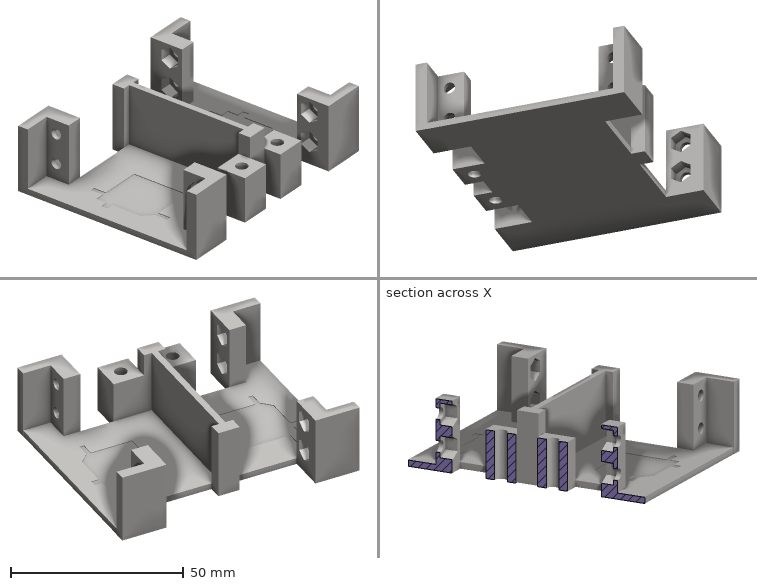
import cadquery as cq

length = 78.0
width = 65.0
height = 22.0

floor_thickness = 2.0
floor_width = 41.8
floor_setback = 0.1

wall_thickness = 2.0
bar_thickness = 7.0
bar_span = 50.2

boss_size = 10.0
boss_height = 15.0
boss_hole_diameter = 4.0

bracket_length = 14.5
side_thickness = 3.5
flange_thickness = 5.45
bracket_width = (width - floor_width) / 2

screw_diameter = 3.5
screw_edge_distance = 7.0
screw_heights = (7.5, 17.5)
nut_corner_diameter = 7.0
nut_depth = 4.0

recess_depth = 0.2
recess_half_width = 9.6
recess_inner_y = 13.5
recess_outer_y = 31.5
recess_chamfer = 3.05
lead_half_span = 13.9
lead_thickness = 1.5
lead_outer_y = recess_outer_y - recess_chamfer
key_left = -5.9
key_width = 2.2
key_outer_y = 33.9


def block(x_min, x_max, y_min, y_max, z_max):
    """Box standing on Z = 0 between the given X and Y limits."""
    corner = cq.Workplane("XY", origin=(x_min, y_min, 0))
    return corner.box(x_max - x_min, y_max - y_min, z_max, centered=False)


def make_floor():
    """Plate that widens to the full width beyond the bracket flanges at both ends."""
    half_length = length / 2
    flange_outer_y = half_length - bracket_length + flange_thickness
    floor_end = half_length - floor_setback
    strip = block(-floor_width / 2, floor_width / 2, -half_length, floor_end, floor_thickness)
    front_end = block(-width / 2, width / 2, -half_length, -flange_outer_y, floor_thickness)
    back_end = block(-width / 2, width / 2, flange_outer_y, floor_end, floor_thickness)
    return strip.union(front_end).union(back_end)


def make_wall():
    """Full-height cross wall ending in a thicker bar on each side of the floor."""
    wall = block(-bar_span / 2, bar_span / 2, -wall_thickness / 2, wall_thickness / 2, height)
    for x_min, x_max in (
        (-bar_span / 2, -floor_width / 2),
        (floor_width / 2, bar_span / 2),
    ):
        wall = wall.union(block(x_min, x_max, -bar_thickness / 2, bar_thickness / 2, height))
    return wall


def make_boss():
    """Drilled block on the +X, +Y side, against the floor and the end bar."""
    x_min = floor_width / 2
    y_min = bar_thickness / 2
    hole = (
        cq.Workplane("XY")
        .center(x_min + boss_size / 2, y_min + boss_size / 2)
        .circle(boss_hole_diameter / 2)
        .extrude(boss_height)
    )
    return block(x_min, x_min + boss_size, y_min, y_min + boss_size, boss_height).cut(hole)


def make_bracket():
    """Corner bracket at +X, +Y with two screw holes and hexagonal nut pockets."""
    x_max = width / 2
    y_max = length / 2
    y_min = y_max - bracket_length
    flange = block(x_max - bracket_width, x_max, y_min, y_min + flange_thickness, height)
    bracket = flange.union(block(x_max - side_thickness, x_max, y_min, y_max, height))

    inner_face = cq.Workplane("XZ", origin=(x_max - screw_edge_distance, y_min, 0))
    centres = [(0, z) for z in screw_heights]
    holes = inner_face.pushPoints(centres).circle(screw_diameter / 2).extrude(-flange_thickness)
    turned_face = inner_face.transformed(rotate=(0, 0, 90))
    turned_centres = [(z, 0) for z in screw_heights]
    nuts = turned_face.pushPoints(turned_centres).polygon(6, nut_corner_diameter).extrude(-nut_depth)
    return bracket.cut(holes).cut(nuts)


def make_recess():
    """Component outline on the +Y half: chamfered body, two side leads and a key."""
    lead_inner_y = lead_outer_y - lead_thickness
    return (
        cq.Workplane("XY", origin=(0, 0, floor_thickness - recess_depth))
        .moveTo(-recess_half_width, recess_inner_y)
        .lineTo(recess_half_width, recess_inner_y)
        .lineTo(recess_half_width, lead_inner_y)
        .lineTo(lead_half_span, lead_inner_y)
        .lineTo(lead_half_span, lead_outer_y)
        .lineTo(recess_half_width, lead_outer_y)
        .lineTo(recess_half_width - recess_chamfer, recess_outer_y)
        .lineTo(key_left + key_width, recess_outer_y)
        .lineTo(key_left + key_width, key_outer_y)
        .lineTo(key_left, key_outer_y)
        .lineTo(key_left, recess_outer_y)
        .lineTo(-recess_half_width, recess_outer_y)
        .lineTo(-recess_half_width, lead_outer_y)
        .lineTo(-lead_half_span, lead_outer_y)
        .lineTo(-lead_half_span, lead_inner_y)
        .lineTo(-recess_half_width, lead_inner_y)
        .close()
        .extrude(recess_depth)
    )


def with_mirror(shape, plane):
    """The shape joined with its mirror image."""
    return shape.union(shape.mirror(plane))


brackets = with_mirror(with_mirror(make_bracket(), "YZ"), "XZ")
bosses = with_mirror(make_boss(), "XZ")
recess = make_recess()

result = (
    make_floor()
    .union(make_wall())
    .union(bosses)
    .union(brackets)
    .cut(recess)
    .cut(recess.mirror("XZ"))
)